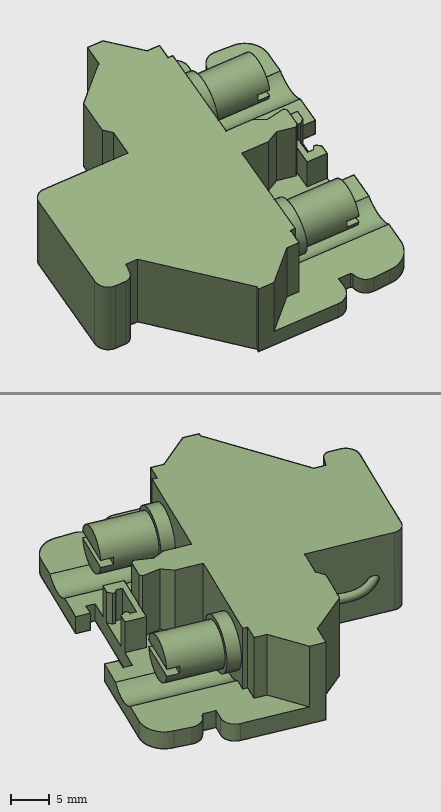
import cadquery as cq
import math

width = 46.0
length = 42.0
height = 13.0
half_width = width / 2

plate_thickness = 2.85
shoulder_y = 18.0
plate_corner_diameter = 4.0
plate_corner_radius = plate_corner_diameter / 2
neck_half_width = 19.35
neck_bottom_y = 31.9
neck_top_y = 33.65
lobe_corner_radius = 3.55
lobe_half_width = 21.45
lobe_top_half_width = 21.3
lobe_side_bottom_y = 36.0
lobe_tip_x = 19.65
lobe_tip_y = 33.9
lobe_side_top_y = length - lobe_corner_radius

notch_half_width = 5.2
notch_undercut_half_width = 6.75
notch_lip_y = 39.97
notch_floor_y = 38.7

body_back_y = 27.05
tongue_end_y = 35.7
tongue_half_width = 2.1
tongue_neck_half_width = 1.2
side_step_x = 18.75
side_step_y = 26.35
back_half_width = 16.45
step_y = 13.0
recess_y = 14.08
foot_left = -5.05
foot_right = 13.52
foot_left_radius = 1.55
foot_right_radius = plate_corner_radius
hook_neck_x = 11.05
hook_neck_top_y = 6.62
hook_neck_bottom_y = 4.9
hook_side_top_y = 3.55
hook_lip = (12.55, 4.65)
hook_lip_radius = 1.2
right_slope_x = 22.55

block_half_width = 4.0
block_top_z = 8.0
pocket_floor_y = 36.52
pocket_half_width = 2.58
pocket_neck_half_width = 2.05

screw_x = 12.0
screw_z = 7.6
pin_diameter = 6.65
collar_diameter = 8.0
collar_end_y = 29.05
pin_end_y = 37.15
slot_width = 1.2
slot_depth = 1.8

trough_x = 11.9
trough_diameter = collar_diameter
trough_half_width = 2.65

wire_diameter = 1.35
wire_z = 5.95
loop_peak = (-7.2, 8.7)
loop_upper_end_y = 12.4
loop_lower_end_y = 4.1
loop_upper_direction = (-1, -0.2)
loop_lower_direction = (1, -0.8)
loop_embed = 0.45


def mirrored(points):
    """Return the points reflected across X = 0, in reverse order."""
    return [(-x, y) for x, y in reversed(points)]


def make_plate():
    """Symmetric plate, built as its right half and mirrored to the left."""
    corner_center_x = lobe_top_half_width - lobe_corner_radius
    diagonal = lobe_corner_radius * math.sqrt(0.5)
    half = (
        cq.Workplane("XY")
        .moveTo(0, shoulder_y)
        .lineTo(half_width, shoulder_y)
        .lineTo(half_width, neck_bottom_y - plate_corner_radius)
        .radiusArc((half_width - plate_corner_radius, neck_bottom_y), -plate_corner_radius)
        .lineTo(neck_half_width, neck_bottom_y)
        .lineTo(neck_half_width, neck_top_y)
        .lineTo(lobe_tip_x, lobe_tip_y)
        .radiusArc((lobe_half_width, lobe_side_bottom_y), -plate_corner_radius)
        .lineTo(lobe_top_half_width, lobe_side_top_y)
        .threePointArc(
            (corner_center_x + diagonal, lobe_side_top_y + diagonal),
            (corner_center_x, length),
        )
        .lineTo(notch_half_width, length)
        .lineTo(notch_half_width, notch_lip_y)
        .lineTo(notch_undercut_half_width, notch_lip_y)
        .lineTo(notch_undercut_half_width, notch_floor_y)
        .lineTo(0, notch_floor_y)
        .close()
        .extrude(plate_thickness)
    )
    return half.union(half.mirror("YZ"))


def make_body():
    """Full-height body with its tongue, side steps and hooked foot."""
    upper_right = [
        (half_width, shoulder_y),
        (half_width, 20.3),
        (side_step_x, 24.5),
        (side_step_x, side_step_y),
        (back_half_width, side_step_y),
        (back_half_width, body_back_y),
        (tongue_half_width, body_back_y),
        (tongue_half_width, 31.0),
        (tongue_neck_half_width, 32.7),
        (1.7, 35.35),
        (1.35, tongue_end_y),
    ]
    lower_left = [
        (-19.95, shoulder_y),
        (-15.1, step_y),
        (-10.05, step_y),
        (-8.95, recess_y),
        (foot_left, recess_y),
    ]
    return (
        cq.Workplane("XY")
        .polyline(upper_right + mirrored(upper_right) + lower_left)
        .lineTo(foot_left, foot_left_radius)
        .radiusArc((foot_left + foot_left_radius, 0), -foot_left_radius)
        .lineTo(foot_right - foot_right_radius, 0)
        .radiusArc((foot_right, foot_right_radius), -foot_right_radius)
        .lineTo(foot_right, hook_side_top_y)
        .radiusArc(hook_lip, -hook_lip_radius)
        .lineTo(hook_neck_x, hook_neck_bottom_y)
        .lineTo(hook_neck_x, hook_neck_top_y)
        .lineTo(right_slope_x, shoulder_y)
        .close()
        .extrude(height)
    )


def make_block():
    """Block behind the tongue, with its pocket open to the far side."""
    block = (
        cq.Workplane("XY")
        .moveTo(-block_half_width, tongue_end_y)
        .lineTo(block_half_width, tongue_end_y)
        .lineTo(block_half_width, notch_floor_y)
        .lineTo(-block_half_width, notch_floor_y)
        .close()
        .extrude(block_top_z)
    )
    pocket_right = [
        (pocket_half_width, pocket_floor_y),
        (pocket_half_width, 37.4),
        (pocket_neck_half_width, 37.67),
        (pocket_neck_half_width, 38.1),
        (pocket_half_width, notch_floor_y),
    ]
    pocket = (
        cq.Workplane("XY")
        .workplane(offset=plate_thickness)
        .polyline(pocket_right + mirrored(pocket_right))
        .close()
        .extrude(block_top_z - plate_thickness)
    )
    return block.cut(pocket)


def cylinder_along_y(diameter, x, z, start_y, end_y):
    """Cylinder with its axis parallel to Y."""
    return cq.Workplane(
        cq.Solid.makeCylinder(
            diameter / 2,
            end_y - start_y,
            cq.Vector(x, start_y, z),
            cq.Vector(0, 1, 0),
        )
    )


def make_screw(x):
    """Collar and slotted pin, rooted in the back of the body."""
    collar = cylinder_along_y(collar_diameter, x, screw_z, body_back_y, collar_end_y)
    pin = cylinder_along_y(pin_diameter, x, screw_z, body_back_y, pin_end_y)
    slot = cq.Workplane("XY").box(pin_diameter, 2 * slot_depth, slot_width)
    return collar.union(pin.cut(slot.translate((x, pin_end_y, screw_z))))


def make_trough(x):
    """Round-bottomed cutter that sinks into the plate below a screw."""
    rise = math.sqrt((trough_diameter / 2) ** 2 - trough_half_width**2)
    return cylinder_along_y(trough_diameter, x, plate_thickness + rise, body_back_y, length)


def make_wire_loop():
    """Round wire bent in one smooth curve, both ends buried in the foot."""
    end_x = foot_left + loop_embed
    path = (
        cq.Workplane("XY", origin=(0, 0, wire_z))
        .spline(
            [(end_x, loop_upper_end_y), loop_peak, (end_x, loop_lower_end_y)],
            tangents=[loop_upper_direction, loop_lower_direction],
        )
    )
    section = cq.Workplane("YZ", origin=(end_x, loop_upper_end_y, wire_z))
    return section.circle(wire_diameter / 2).sweep(path)


plate = make_plate()
for side in (-1, 1):
    plate = plate.cut(make_trough(side * trough_x))

result = plate.union(make_body()).union(make_block()).union(make_wire_loop())
for side in (-1, 1):
    result = result.union(make_screw(side * screw_x))